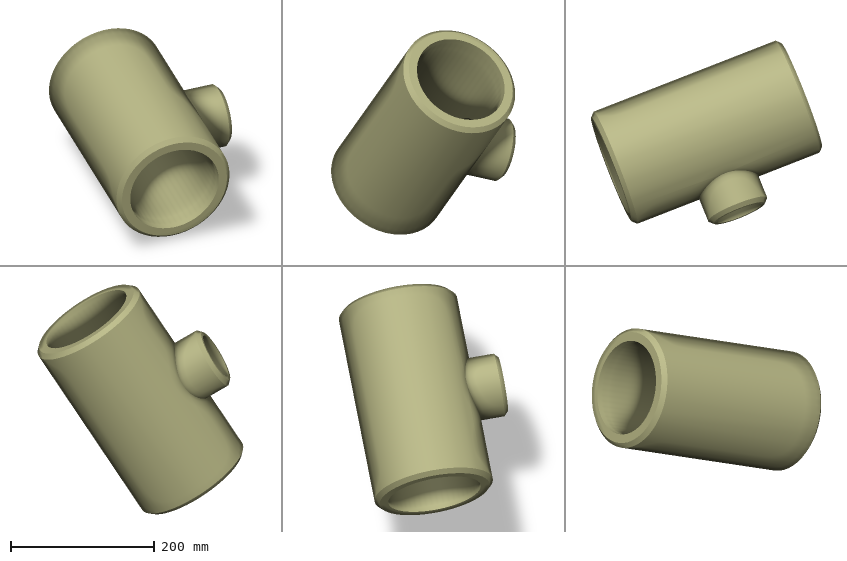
import cadquery as cq

run_length = 285.5
run_outer_diameter = 168.28
run_wall = 18.26

branch_reach = 123.95
branch_outer_diameter = 88.9
branch_wall = 11.13

bevel = 6.0

run_bore_diameter = run_outer_diameter - 2 * run_wall
branch_bore_diameter = branch_outer_diameter - 2 * branch_wall


def make_run():
    """Solid run cylinder centred on the origin, bevelled at both ends."""
    cylinder = (
        cq.Workplane("YZ")
        .circle(run_outer_diameter / 2)
        .extrude(run_length / 2, both=True)
    )
    return cylinder.faces("<X or >X").chamfer(bevel)


def along_branch(diameter):
    """Cylinder from the run axis to the branch end face."""
    return cq.Workplane("XZ").circle(diameter / 2).extrude(-branch_reach)


def make_branch():
    """Solid branch cylinder, bevelled at its open end."""
    return along_branch(branch_outer_diameter).faces(">Y").chamfer(bevel)


def make_run_bore():
    """Through bore of the run."""
    return (
        cq.Workplane("YZ")
        .circle(run_bore_diameter / 2)
        .extrude(run_length / 2, both=True)
    )


body = make_run().union(make_branch())
result = body.cut(make_run_bore()).cut(along_branch(branch_bore_diameter))